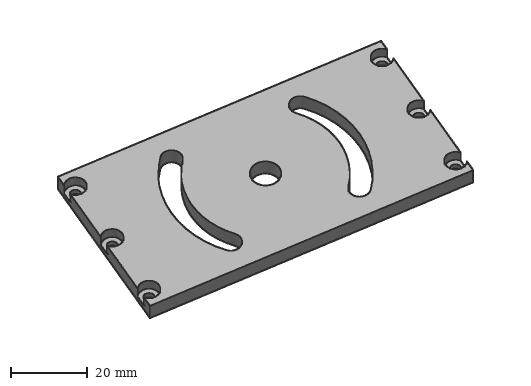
import cadquery as cq
import math

width = 50.0
length = 96.0
thickness = 5.0

pivot_diameter = 8.2

slot_radius = 25.0
slot_width = 6.0
slot_half_angle = 40.0

screw_diameter = 3.0
counterbore_diameter = 6.0
counterbore_depth = 3.3
screw_pitch = 20.0
screw_edge_distance = 2.5
screws_per_row = 3


def polar_point(radius, angle):
    """Point at a radius from the pivot, with the angle in degrees from +Y."""
    turn = math.radians(angle)
    return (radius * math.sin(turn), radius * math.cos(turn))


def arc_slot(middle_angle):
    """Through-cutter for a round-ended slot that follows an arc about the pivot."""
    outer_radius = slot_radius + slot_width / 2
    inner_radius = slot_radius - slot_width / 2
    start = middle_angle - slot_half_angle
    end = middle_angle + slot_half_angle

    def end_tip(angle, direction):
        x, y = polar_point(slot_radius, angle)
        tangent_x, tangent_y = polar_point(slot_width / 2, angle + direction * 90)
        return (x + tangent_x, y + tangent_y)

    return (
        cq.Workplane("XY")
        .moveTo(*polar_point(outer_radius, start))
        .threePointArc(polar_point(outer_radius, middle_angle), polar_point(outer_radius, end))
        .threePointArc(end_tip(end, 1), polar_point(inner_radius, end))
        .threePointArc(polar_point(inner_radius, middle_angle), polar_point(inner_radius, start))
        .threePointArc(end_tip(start, -1), polar_point(outer_radius, start))
        .close()
        .extrude(thickness)
    )


plate = cq.Workplane("XY").box(width, length, thickness, centered=(True, True, False))
plate = plate.cut(cq.Workplane("XY").circle(pivot_diameter / 2).extrude(thickness))

for middle_angle in (0, 180):
    plate = plate.cut(arc_slot(middle_angle))

row_spacing = length - 2 * screw_edge_distance
result = (
    plate.faces(">Z")
    .workplane(origin=(0, 0, thickness))
    .rarray(screw_pitch, row_spacing, screws_per_row, 2)
    .cboreHole(screw_diameter, counterbore_diameter, counterbore_depth)
)